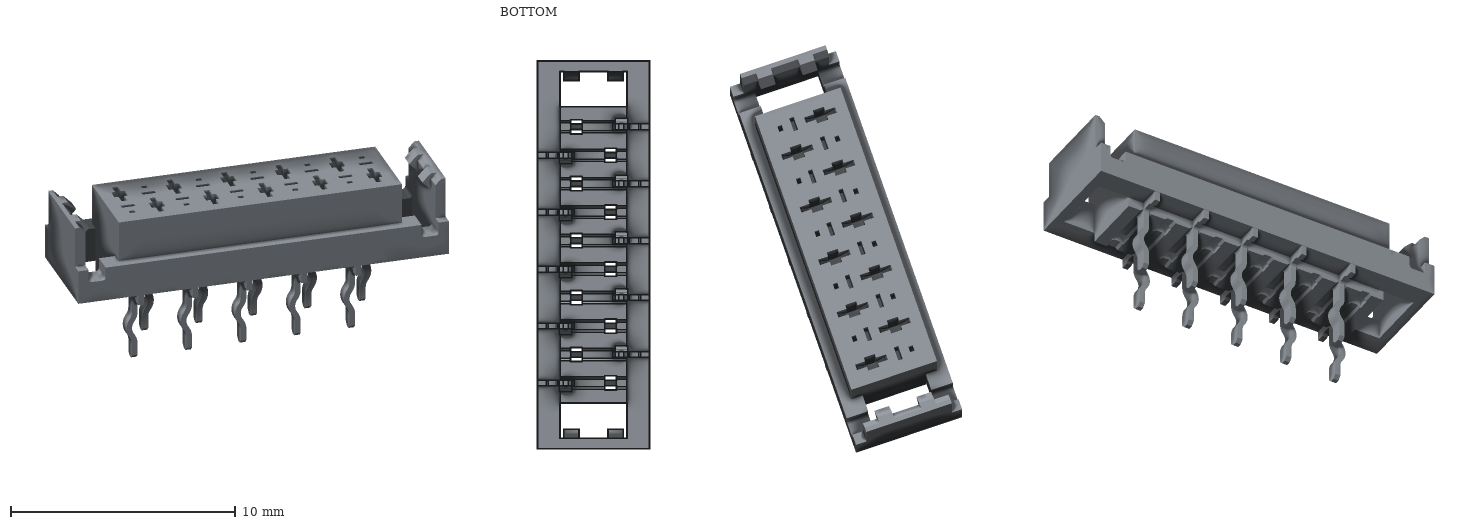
import cadquery as cq
import math

LENGTH = 17.3
TOTAL_HEIGHT = 7.1
FLANGE_WIDTH = 5.0
FLANGE_HEIGHT = 1.61
TOWER_WIDTH = 4.03
TOWER_LENGTH = 13.22
TOP_Z = 3.51
WINDOW_WIDTH = 2.98

ARM_THICKNESS = 0.48
ARM_CHAMFER = 0.28
RELIEF_LENGTH = 0.8
RELIEF_DEPTH = 0.62
RELIEF_RADIUS = 0.15
HOOK_WIDTH = 0.7
HOOK_SPACING = 1.97
HOOK_REACH = 0.4

STANDOFF_HEIGHT = 0.48
CHANNEL_DEPTH = 0.1
CHANNEL_WIDTH = 0.35
FOOT_INSET = 0.02
FOOT_ARCH_INNER_X = 1.49
FOOT_ARCH_WIDTH = 0.62

POSITIONS = 10
CONTACT_SPAN = 11.42
PITCH = CONTACT_SPAN / (POSITIONS - 1)
PIN_X = 1.25
PIN_WIDTH = 0.57
PIN_THICKNESS = 0.26
PIN_BOTTOM_Z = TOP_Z - TOTAL_HEIGHT
PIN_TIP_CHAMFER = 0.17
BEND_START_Z = -1.28
BEND_HALF_HEIGHT = 0.78
BEND_OFFSET = 0.26

ENTRY_X = 0.76
ENTRY_LENGTH = 0.52
ENTRY_WIDTH = 0.62
SLOT_LENGTH = 1.45
SLOT_WIDTH = 0.26
RECESS_X = 0.5
RECESS_LENGTH = 0.2
RECESS_DEPTH = 0.86
PEEPHOLE_X = 1.12
PEEPHOLE_LENGTH = 0.2
PEEPHOLE_FLOOR_DROP = 0.45

SPRING_RIM_DEPTH = 0.17
SPRING_FLANK_LENGTH = 1.25
SPRING_FLANK_DEPTH = 0.45
SPRING_FLANK_SLOPE = math.radians(50)
SPRING_BEND_LENGTH = 0.73
SPRING_TROUGH_LENGTH = 0.2
SPRING_BASE_DEPTH = 1.73


def box(x_size, y_size, z_bottom, z_top, x=0.0, y=0.0):
    """Box centred on (x, y) between two heights."""
    return cq.Workplane("XY").box(x_size, y_size, z_top - z_bottom).translate((x, y, (z_bottom + z_top) / 2))


def extrude_along_y(points, thickness, y):
    """Closed XZ outline, extruded symmetrically about the given Y."""
    return cq.Workplane("XZ").polyline(points).close().extrude(thickness / 2, both=True).translate((0, y, 0))


def extrude_along_x(points, width, x):
    """Closed YZ outline, extruded symmetrically about the given X."""
    return cq.Workplane("YZ").polyline(points).close().extrude(width / 2, both=True).translate((x, 0, 0))


def make_end():
    """Arm with two latch hooks at the +Y end."""
    outer_y = LENGTH / 2
    inner_y = outer_y - ARM_THICKNESS
    arm = box(TOWER_WIDTH, ARM_THICKNESS, 0, TOP_Z, y=outer_y - ARM_THICKNESS / 2)
    arm = arm.faces(">Z").edges("<Y").chamfer(ARM_CHAMFER)
    hook_outline = [
        (outer_y, TOP_Z),
        (inner_y, TOP_Z),
        (inner_y - HOOK_REACH, TOP_Z - HOOK_REACH),
        (inner_y, TOP_Z - 2 * HOOK_REACH),
        (outer_y, TOP_Z - 2 * HOOK_REACH),
    ]
    for side in (-1, 1):
        arm = arm.union(extrude_along_x(hook_outline, HOOK_WIDTH, side * HOOK_SPACING / 2))
    return arm


def make_relief():
    """Cutter for the window and the round-bottomed slot behind the +Y arm."""
    inner_y = LENGTH / 2 - ARM_THICKNESS
    window_length = inner_y - TOWER_LENGTH / 2
    window = box(WINDOW_WIDTH, window_length, 0, FLANGE_HEIGHT, y=inner_y - window_length / 2)
    slot = box(FLANGE_WIDTH, RELIEF_LENGTH, FLANGE_HEIGHT - RELIEF_DEPTH, FLANGE_HEIGHT,
               y=inner_y - RELIEF_LENGTH / 2)
    slot = slot.faces("<Z").edges("|X").fillet(RELIEF_RADIUS)
    return window.union(slot)


def make_channel(y):
    """Cutter for the flared channel across the standoff at one contact."""
    bottom = -STANDOFF_HEIGHT
    top = bottom + CHANNEL_DEPTH
    half = CHANNEL_WIDTH / 2
    outline = [
        (y - half, top),
        (y + half, top),
        (y + half + CHANNEL_DEPTH, bottom),
        (y - half - CHANNEL_DEPTH, bottom),
    ]
    return extrude_along_x(outline, FLANGE_WIDTH, 0)


def make_foot(side, y):
    """Arched foot reaching from a pin out to just inside the flange edge."""
    bottom = -STANDOFF_HEIGHT
    arch_z = bottom + CHANNEL_DEPTH
    outer_x = FLANGE_WIDTH / 2 - FOOT_INSET
    arch_outer_x = FOOT_ARCH_INNER_X + FOOT_ARCH_WIDTH
    outline = [
        (PIN_X, 0),
        (PIN_X, bottom),
        (FOOT_ARCH_INNER_X, bottom),
        (FOOT_ARCH_INNER_X + CHANNEL_DEPTH, arch_z),
        (arch_outer_x - CHANNEL_DEPTH, arch_z),
        (arch_outer_x, bottom),
        (outer_x, bottom),
        (outer_x, 0),
    ]
    return extrude_along_y([(side * x, z) for x, z in outline], PIN_THICKNESS, y)


def make_pin(side, y):
    """Solder pin with an S-shaped bend; pins of the -X row bulge toward +Y."""
    bulge = -side
    radius = (BEND_HALF_HEIGHT**2 + BEND_OFFSET**2) / (4 * BEND_OFFSET)
    angle = math.asin(BEND_HALF_HEIGHT / 2 / radius)
    middle_z = BEND_START_Z - BEND_HALF_HEIGHT

    def face_points(offset):
        """Points down one face: bend start, three arcs by mid and end point."""
        entry_radius = radius - offset
        crown_radius = radius + offset

        def entry(turn):
            return radius - entry_radius * math.cos(turn), BEND_START_Z - entry_radius * math.sin(turn)

        upper = [entry(0), entry(angle / 2), entry(angle)]
        crown = (BEND_OFFSET - radius + crown_radius, middle_z)
        lower = [(u, 2 * middle_z - z) for u, z in reversed(upper)]
        return [(y + bulge * u, z) for u, z in upper + [crown] + lower]

    def trace(outline, points):
        for middle, end in zip(points[1::2], points[2::2]):
            outline = outline.threePointArc(middle, end)
        return outline

    half = PIN_THICKNESS / 2
    near = face_points(-half)
    far = face_points(half)[::-1]
    outline = cq.Workplane("YZ").moveTo(near[0][0], 0).lineTo(*near[0])
    outline = trace(outline, near).lineTo(near[-1][0], PIN_BOTTOM_Z).lineTo(far[0][0], PIN_BOTTOM_Z)
    outline = trace(outline.lineTo(*far[0]), far).lineTo(far[-1][0], 0).close()
    pin = outline.extrude(PIN_WIDTH / 2, both=True)
    pin = pin.faces("<Z").edges("|Y").chamfer(PIN_TIP_CHAMFER)
    return pin.translate((side * PIN_X, 0, 0))


def make_pin_shoulder(side, y):
    """Sloped shoulder where the inner edge of a pin meets the channel."""
    inner_x = PIN_X - PIN_WIDTH / 2
    channel_z = CHANNEL_DEPTH - STANDOFF_HEIGHT
    outline = [
        (inner_x - CHANNEL_DEPTH, channel_z),
        (inner_x, -STANDOFF_HEIGHT),
        (inner_x, channel_z),
    ]
    return extrude_along_y([(side * x, z) for x, z in outline], PIN_THICKNESS, y)


def make_openings(side, y):
    """Cutter for the top-face openings of a contact whose pin is on the given side."""
    entry_x = -side * ENTRY_X
    floor_z = TOP_Z - RECESS_DEPTH
    openings = box(ENTRY_LENGTH, ENTRY_WIDTH, -STANDOFF_HEIGHT, TOP_Z, entry_x, y)
    openings = openings.union(box(SLOT_LENGTH, SLOT_WIDTH, TOP_Z - SPRING_BASE_DEPTH, TOP_Z, entry_x, y))
    openings = openings.union(box(RECESS_LENGTH, ENTRY_WIDTH, floor_z, TOP_Z, side * RECESS_X, y))
    inner_x = side * (PEEPHOLE_X - PEEPHOLE_LENGTH / 2)
    outer_x = side * (PEEPHOLE_X + PEEPHOLE_LENGTH / 2)
    peephole_outline = [
        (inner_x, TOP_Z),
        (inner_x, floor_z - PEEPHOLE_FLOOR_DROP),
        (outer_x, floor_z),
        (outer_x, TOP_Z),
    ]
    return openings.union(extrude_along_y(peephole_outline, SLOT_WIDTH, y))


def make_spring(side, y):
    """Dished contact spring lying in the slot and spanning the entry."""
    trough_x = SPRING_TROUGH_LENGTH / 2
    bend_x = SPRING_BEND_LENGTH / 2
    flank_x = SPRING_FLANK_LENGTH / 2
    end_x = SLOT_LENGTH / 2
    rim_z = TOP_Z - SPRING_RIM_DEPTH
    flank_z = TOP_Z - SPRING_FLANK_DEPTH
    base_z = TOP_Z - SPRING_BASE_DEPTH
    bend_z = flank_z - (flank_x - bend_x) * math.tan(SPRING_FLANK_SLOPE)

    bend_radius = (bend_x - trough_x) / math.sin(SPRING_FLANK_SLOPE)
    trough_z = bend_z - bend_radius * (1 - math.cos(SPRING_FLANK_SLOPE))
    arc_x = trough_x + bend_radius * math.sin(SPRING_FLANK_SLOPE / 2)
    arc_z = trough_z + bend_radius * (1 - math.cos(SPRING_FLANK_SLOPE / 2))

    outline = cq.Workplane("XZ").moveTo(-end_x, base_z).lineTo(-end_x, rim_z)
    outline = outline.lineTo(-flank_x, flank_z).lineTo(-bend_x, bend_z)
    outline = outline.threePointArc((-arc_x, arc_z), (-trough_x, trough_z)).lineTo(trough_x, trough_z)
    outline = outline.threePointArc((arc_x, arc_z), (bend_x, bend_z)).lineTo(flank_x, flank_z)
    outline = outline.lineTo(end_x, rim_z).lineTo(end_x, base_z).close()
    return outline.extrude(SLOT_WIDTH / 2, both=True).translate((-side * ENTRY_X, y, 0))


flange = box(FLANGE_WIDTH, LENGTH, 0, FLANGE_HEIGHT)
tower = box(TOWER_WIDTH, TOWER_LENGTH, 0, TOP_Z)
standoff = box(WINDOW_WIDTH, TOWER_LENGTH, -STANDOFF_HEIGHT, 0)

end = make_end()
relief = make_relief()
body = flange.cut(relief).cut(relief.mirror("XZ")).union(tower).union(standoff)
body = body.union(end).union(end.mirror("XZ"))

for position in range(POSITIONS):
    row_y = CONTACT_SPAN / 2 - position * PITCH
    pin_side = -1 if position % 2 == 0 else 1
    body = body.cut(make_channel(row_y)).cut(make_openings(pin_side, row_y))
    body = body.union(make_foot(pin_side, row_y)).union(make_pin(pin_side, row_y))
    body = body.union(make_pin_shoulder(pin_side, row_y))
    body = body.union(make_spring(pin_side, row_y))

result = body